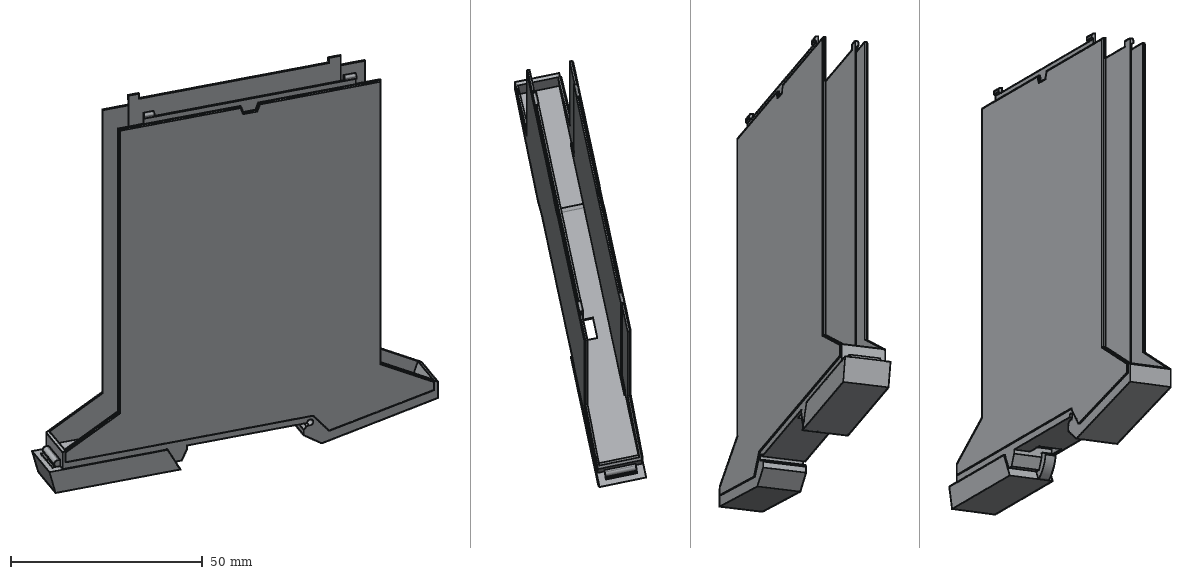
import cadquery as cq
import math


HALF_WIDTH = 6.2
BASE_HALF_WIDTH = 5.9
CAVITY_HALF_WIDTH = 5.4
LINER_INNER = 5.0
LINER_OUTER = 5.6

PLATE_MIDDLE_Y = 1.7
PLATE_HALF_LENGTH = 36.8
PLATE_BACK_Y = PLATE_MIDDLE_Y + PLATE_HALF_LENGTH
PLATE_FRONT_Y = PLATE_MIDDLE_Y - PLATE_HALF_LENGTH
PLATE_TOP_Z = 97.8
SHOULDER_TOP_Z = 13.8
SHOULDER_FOOT_Z = 4.9
BACK_END_Y = 54.6
FRONT_END_Y = -50.8
BACK_WALL = 1.2
FRONT_WALL = 0.8
EDGE_BEVEL = HALF_WIDTH - BASE_HALF_WIDTH

FOOT_BACK_Z = 0.1
HOOK_HEEL = (22.0, -6.9)
HOOK_TIP_Y = 16.9
HOOK_TIP_BOTTOM_Z = -3.5
HOOK_TIP_TOP_Z = -1.9
HOOK_SHOULDER = (17.7, -1.0)
THROAT_BOTTOM_Z = -0.8
RELIEF_Y = 18.7
RELIEF_RADIUS = 0.9

PLATE_BOTTOM_Z = 2.0
PLATE_BACK_CORNER_Z = 2.8
PLATE_HEEL = (23.9, -3.4)
PLATE_STEP_Y = 19.5

FLOOR_Z = 1.4
END_FACE_LEAN = 20
RIDGE_BACK_Y = 19.9
RIDGE_FRONT_Y = 18.9
RIDGE_HEIGHT = 0.1

NOTCH_TOP_HALF = 2.5
NOTCH_BOTTOM_HALF = 1.7
NOTCH_DEPTH = 2.0

LINER_TOP_Z = 99.4
LINER_BACK_Y = 31.7
LINER_FRONT_Y = -27.9
LINER_BACK_FOOT_Y = 35.5
LINER_FRONT_FOOT_Y = -32.2
LINER_JOG_TOP_Z = 7.1
LINER_JOG_BOTTOM_Z = 5.7
BEAD_TOP_Z = 100.9
BEAD_OUTER = 6.0
BEAD_RADIUS = 0.7
BEAD_UNDERSIDE_Z = 99.7
BACK_BEAD_LENGTH = 3.3
FRONT_BEAD_LENGTH = 2.8

OPENING_RIGHT_X = 1.3
OPENING_BACK_Y = -10.3
TONGUE_LEFT_X = -LINER_INNER
TONGUE_RIGHT_X = -2.1

STOP_BACK_Y = -15.8
STOP_SHOULDER_Z = -1.1
STOP_TOE_BACK_Y = -17.4
STOP_BOTTOM_Z = -4.2

CATCH_BOTTOM_Z = -6.6
CATCH_BACK_TOP_Y = -21.4
CATCH_BACK_BOTTOM_Y = -17.8
CATCH_FRONT_TOP_Y = -54.6
CATCH_FRONT_BOTTOM_Y = -52.9

TONGUE_FLAT_END_Y = -15.1
TONGUE_TIP_TOP = (-13.7, -0.5)
TONGUE_TIP = (-13.4, -1.0)
TONGUE_BELLY = (-14.9, -4.2)
TONGUE_ROOT = (-17.4, -6.3)

PRY_HALF_WIDTH = 4.2
LIP_TOP_Z = 1.9
LIP_CREST_Y = -51.3
LIP_NOSE = (-52.5, 0.9)
GROOVE_FRONT_Y = -53.0
GROOVE_DEPTH = 2.2
GROOVE_LEAN = 0.8


def slab(points, x_start, x_end):
    """Extrude a closed YZ outline from x_start to x_end."""
    outline = cq.Workplane("YZ").workplane(offset=x_start).polyline(points).close()
    return outline.extrude(x_end - x_start)


def block(x_range, y_range, z_range):
    """Box between the given limits."""
    lows, highs = zip(x_range, y_range, z_range)
    length, width, height = (high - low for low, high in zip(lows, highs))
    return cq.Workplane("XY", origin=lows).box(length, width, height, centered=False)


def shoulder_z(y):
    """Height of the sloping shoulder at a place along Y beyond the upright plate edges."""
    if y > 0:
        run = (y - PLATE_BACK_Y) / (BACK_END_Y - PLATE_BACK_Y)
    else:
        run = (y - PLATE_FRONT_Y) / (FRONT_END_Y - PLATE_FRONT_Y)
    return SHOULDER_TOP_Z + run * (SHOULDER_FOOT_Z - SHOULDER_TOP_Z)


def end_face_run(y):
    """Distance along Y that the leaning inner end face starting at y covers down to the floor."""
    return (shoulder_z(y) - FLOOR_Z) * math.tan(math.radians(END_FACE_LEAN))


def catch_back_y(z):
    """Place of the sloping back face of the catch at a height below the rail plane."""
    return CATCH_BACK_TOP_Y + z / CATCH_BOTTOM_Z * (CATCH_BACK_BOTTOM_Y - CATCH_BACK_TOP_Y)


INNER_BACK_Y = BACK_END_Y - BACK_WALL
INNER_FRONT_Y = FRONT_END_Y + FRONT_WALL

UPPER_OUTLINE = [
    (INNER_FRONT_Y, shoulder_z(INNER_FRONT_Y)),
    (PLATE_FRONT_Y, SHOULDER_TOP_Z),
    (PLATE_FRONT_Y, PLATE_TOP_Z),
    (PLATE_BACK_Y, PLATE_TOP_Z),
    (PLATE_BACK_Y, SHOULDER_TOP_Z),
    (INNER_BACK_Y, shoulder_z(INNER_BACK_Y)),
]


def make_base():
    """Full base block with the fixed hook, the stop block and the side walls still solid."""
    outline = [
        (FRONT_END_Y, 0),
        (FRONT_END_Y, SHOULDER_FOOT_Z),
        *UPPER_OUTLINE,
        (BACK_END_Y, SHOULDER_FOOT_Z),
        (BACK_END_Y, FOOT_BACK_Z),
        HOOK_HEEL,
        (HOOK_TIP_Y, HOOK_TIP_BOTTOM_Z),
        (HOOK_TIP_Y, HOOK_TIP_TOP_Z),
        HOOK_SHOULDER,
        (RELIEF_Y, THROAT_BOTTOM_Z),
        (RELIEF_Y, 0),
        (STOP_BACK_Y, 0),
        (STOP_BACK_Y, STOP_SHOULDER_Z),
        (STOP_TOE_BACK_Y, STOP_BOTTOM_Z),
        (catch_back_y(STOP_BOTTOM_Z), STOP_BOTTOM_Z),
        (CATCH_BACK_TOP_Y, 0),
    ]
    base = slab(outline, -BASE_HALF_WIDTH, BASE_HALF_WIDTH)
    relief = (
        cq.Workplane("YZ")
        .workplane(offset=-BASE_HALF_WIDTH)
        .center(RELIEF_Y, 0)
        .circle(RELIEF_RADIUS)
        .extrude(2 * BASE_HALF_WIDTH)
    )
    return base.cut(relief)


def make_side_layers():
    """Raised outer layer of both side plates, bevelled on every edge above the base."""
    outline = [
        *UPPER_OUTLINE,
        (INNER_BACK_Y, PLATE_BACK_CORNER_Z),
        PLATE_HEEL,
        (PLATE_STEP_Y, PLATE_BOTTOM_Z),
        (INNER_FRONT_Y, PLATE_BOTTOM_Z),
    ]
    layer = slab(outline, CAVITY_HALF_WIDTH, HALF_WIDTH).cut(make_notch())
    rim = layer.faces(">X").edges().filter(lambda edge: edge.Center().z > SHOULDER_FOOT_Z)
    layer = rim.chamfer(EDGE_BEVEL)
    return layer.union(layer.mirror("YZ"))


def make_notch():
    """Tapered notch through the top edge of both side plates."""
    bottom_z = PLATE_TOP_Z - NOTCH_DEPTH
    outline = [
        (PLATE_MIDDLE_Y - NOTCH_TOP_HALF, PLATE_TOP_Z),
        (PLATE_MIDDLE_Y - NOTCH_BOTTOM_HALF, bottom_z),
        (PLATE_MIDDLE_Y + NOTCH_BOTTOM_HALF, bottom_z),
        (PLATE_MIDDLE_Y + NOTCH_TOP_HALF, PLATE_TOP_Z),
    ]
    return slab(outline, -HALF_WIDTH, HALF_WIDTH)


def make_cavity():
    """Space between the side plates, with sloping ends and a low ridge on its floor."""
    outline = [
        (INNER_FRONT_Y, PLATE_TOP_Z),
        (INNER_FRONT_Y, shoulder_z(INNER_FRONT_Y)),
        (INNER_FRONT_Y + end_face_run(INNER_FRONT_Y), FLOOR_Z),
        (RIDGE_FRONT_Y, FLOOR_Z),
        (RIDGE_BACK_Y, FLOOR_Z + RIDGE_HEIGHT),
        (RIDGE_BACK_Y, FLOOR_Z),
        (INNER_BACK_Y - end_face_run(INNER_BACK_Y), FLOOR_Z),
        (INNER_BACK_Y, shoulder_z(INNER_BACK_Y)),
        (INNER_BACK_Y, PLATE_TOP_Z),
    ]
    return slab(outline, -CAVITY_HALF_WIDTH, CAVITY_HALF_WIDTH)


def make_bead(y_start, length):
    """Rounded snap bead on top of the liner at +X."""
    profile = (
        cq.Workplane("XZ", origin=(0, y_start, 0))
        .moveTo(LINER_INNER, LINER_TOP_Z)
        .lineTo(LINER_OUTER, LINER_TOP_Z)
        .lineTo(BEAD_OUTER, BEAD_UNDERSIDE_Z)
        .lineTo(BEAD_OUTER, BEAD_TOP_Z - BEAD_RADIUS)
        .radiusArc((BEAD_OUTER - BEAD_RADIUS, BEAD_TOP_Z), -BEAD_RADIUS)
        .lineTo(LINER_INNER, BEAD_TOP_Z)
        .close()
    )
    return profile.extrude(-length)


def make_liners():
    """Thin liners inside both side plates, standing above them and carrying the snap beads."""
    outline = [
        (LINER_FRONT_FOOT_Y, FLOOR_Z),
        (LINER_FRONT_FOOT_Y, LINER_JOG_BOTTOM_Z),
        (LINER_FRONT_Y, LINER_JOG_TOP_Z),
        (LINER_FRONT_Y, LINER_TOP_Z),
        (LINER_BACK_Y, LINER_TOP_Z),
        (LINER_BACK_Y, LINER_JOG_TOP_Z),
        (LINER_BACK_FOOT_Y, LINER_JOG_BOTTOM_Z),
        (LINER_BACK_FOOT_Y, FLOOR_Z),
    ]
    liner = slab(outline, LINER_INNER, LINER_OUTER)
    liner = liner.union(make_bead(LINER_FRONT_Y, FRONT_BEAD_LENGTH))
    liner = liner.union(make_bead(LINER_BACK_Y - BACK_BEAD_LENGTH, BACK_BEAD_LENGTH))
    return liner.union(liner.mirror("YZ"))


def make_pry_lip():
    """Round-nosed lip on the outside of the front end wall."""
    profile = (
        cq.Workplane("YZ", origin=(-PRY_HALF_WIDTH, 0, 0))
        .moveTo(FRONT_END_Y, 0)
        .lineTo(FRONT_END_Y, LIP_TOP_Z)
        .lineTo(LIP_CREST_Y, LIP_TOP_Z)
        .threePointArc(LIP_NOSE, (LIP_CREST_Y, 0))
        .close()
    )
    return profile.extrude(2 * PRY_HALF_WIDTH)


def make_housing():
    """Housing with base, side plates, liners and pry lip as one solid."""
    floor_opening = block(
        (-LINER_INNER, OPENING_RIGHT_X), (STOP_BACK_Y, OPENING_BACK_Y), (0, FLOOR_Z)
    )
    tongue_slot = block(
        (TONGUE_LEFT_X, TONGUE_RIGHT_X), (CATCH_BACK_TOP_Y, STOP_BACK_Y), (STOP_BOTTOM_Z, 0)
    )
    return (
        make_base()
        .cut(make_notch())
        .cut(make_cavity())
        .union(make_side_layers())
        .union(make_liners())
        .union(make_pry_lip())
        .cut(floor_opening)
        .cut(tongue_slot)
    )


def make_tongue():
    """Curved tongue of the catch that reaches through the stop block to the rail."""
    profile = (
        cq.Workplane("YZ", origin=(TONGUE_LEFT_X, 0, 0))
        .moveTo(CATCH_BACK_TOP_Y, 0)
        .lineTo(TONGUE_FLAT_END_Y, 0)
        .lineTo(*TONGUE_TIP_TOP)
        .lineTo(*TONGUE_TIP)
        .threePointArc(TONGUE_BELLY, TONGUE_ROOT)
        .lineTo(CATCH_BACK_BOTTOM_Y, CATCH_BOTTOM_Z)
        .close()
    )
    return profile.extrude(TONGUE_RIGHT_X - TONGUE_LEFT_X)


def make_catch():
    """Sliding catch under the front of the base."""
    outline = [
        (CATCH_BACK_TOP_Y, 0),
        (CATCH_BACK_BOTTOM_Y, CATCH_BOTTOM_Z),
        (CATCH_FRONT_BOTTOM_Y, CATCH_BOTTOM_Z),
        (CATCH_FRONT_TOP_Y, 0),
    ]
    groove = slab(
        [
            (FRONT_END_Y, 0),
            (FRONT_END_Y, -GROOVE_DEPTH),
            (GROOVE_FRONT_Y + GROOVE_LEAN, -GROOVE_DEPTH),
            (GROOVE_FRONT_Y, 0),
        ],
        -PRY_HALF_WIDTH,
        PRY_HALF_WIDTH,
    )
    return slab(outline, -HALF_WIDTH, HALF_WIDTH).union(make_tongue()).cut(groove)


housing = make_housing()
catch = make_catch()

result = cq.Compound.makeCompound([housing.val(), catch.val()])